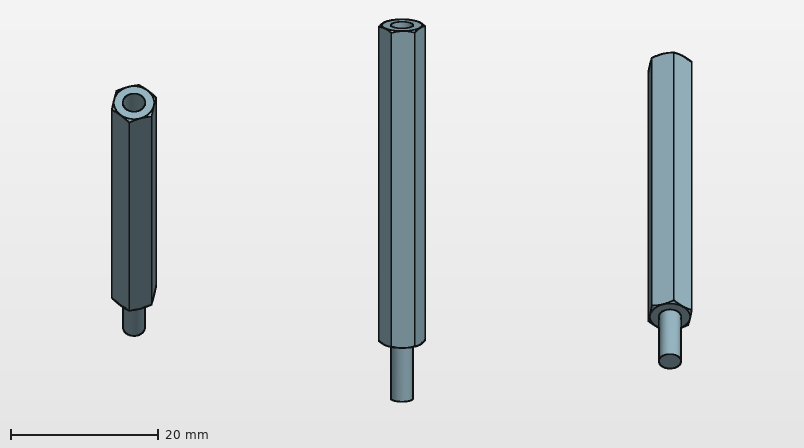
import cadquery as cq
import math

total_length = 53.0
stud_length = 8.0
thread_diameter = 3.0
across_flats = 5.5
chamfer_circle_diameter = 5.45
chamfer_angle = 30.0

hex_length = total_length - stud_length
across_corners = across_flats / math.cos(math.radians(30))
hole_depth = stud_length
corner_radius = across_corners / 2
chamfer_circle_radius = chamfer_circle_diameter / 2
chamfer_drop = (corner_radius - chamfer_circle_radius) * math.tan(math.radians(chamfer_angle))


def make_chamfer_envelope():
    """Round bar with coned ends that trims the corners of the hexagon."""
    return (
        cq.Workplane("XZ")
        .moveTo(0, stud_length)
        .lineTo(chamfer_circle_radius, stud_length)
        .lineTo(corner_radius, stud_length + chamfer_drop)
        .lineTo(corner_radius, total_length - chamfer_drop)
        .lineTo(chamfer_circle_radius, total_length)
        .lineTo(0, total_length)
        .close()
        .revolve(360, (0, 0, 0), (0, 1, 0))
    )


def make_hex_body():
    """Hexagonal bar with corners on the Y axis, chamfered ends and a blind hole in the top."""
    bar = (
        cq.Workplane("XY", origin=(0, 0, stud_length))
        .transformed(rotate=(0, 0, 90))
        .polygon(6, across_corners)
        .extrude(hex_length)
    )
    hole = (
        cq.Workplane("XY", origin=(0, 0, total_length))
        .circle(thread_diameter / 2)
        .extrude(-hole_depth)
    )
    return bar.intersect(make_chamfer_envelope()).cut(hole)


def make_stud():
    """Plain cylinder that meets the lower end face of the hexagonal body."""
    return cq.Workplane("XY").circle(thread_diameter / 2).extrude(stud_length)


hex_body = make_hex_body()
stud = make_stud()

result = cq.Compound.makeCompound([hex_body.solids().val(), stud.val()])